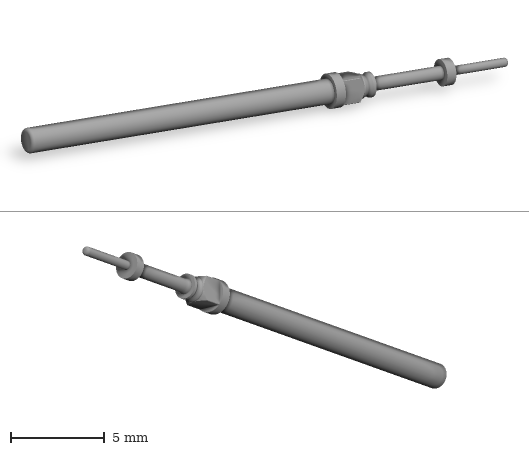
import cadquery as cq
import math

LENGTH = 29.4
FLANGE_Y = 18.45
FLANGE_THICKNESS = 0.55
HEAD_FRONT_Y = 21.05
COLLAR_Y = 25.35
COLLAR_THICKNESS = 0.55

BARREL_DIAMETER = 1.38
FLANGE_DIAMETER = 1.9
ROD_DIAMETER = 0.75
COLLAR_DIAMETER = 1.47
PIN_DIAMETER = 0.5

SQUARE_SIDE = 1.38
SQUARE_LENGTH = 1.03
TAPER_LENGTH = 0.25

GROOVE_DEPTH = 0.12
GROOVE_FRONT_WIDTH = 0.2
GROOVE_BACK_WIDTH = 0.25
HEAD_LIP_WIDTH = 0.18

FLARE_LENGTH = 0.32
FLARE_RADIUS = 0.88
BARREL_END_FILLET = 0.18
PIN_TIP_FILLET = 0.18

SQUARE_Y = FLANGE_Y + FLANGE_THICKNESS
TAPER_Y = SQUARE_Y + SQUARE_LENGTH


def cylinder(diameter, start, end):
    """Cylinder on the Y axis between two stations."""
    disc = cq.Workplane("XZ", origin=(0, start, 0)).circle(diameter / 2)
    return disc.extrude(start - end)


def revolve_about_y(outline):
    """Turn a closed (radius, Y) outline around the Y axis."""
    return outline.close().revolve(360, (0, 0, 0), (0, 1, 0))


def make_barrel():
    """Round barrel with a rounded free end."""
    barrel = cylinder(BARREL_DIAMETER, 0, FLANGE_Y)
    return barrel.faces("<Y").edges().fillet(BARREL_END_FILLET)


def make_square_block():
    """Square block bounded by the flange diameter, its front corners tapered."""
    front_y = TAPER_Y + TAPER_LENGTH
    square = cq.Workplane("XZ", origin=(0, SQUARE_Y, 0)).rect(SQUARE_SIDE, SQUARE_SIDE)
    block = square.extrude(SQUARE_Y - front_y)
    envelope = revolve_about_y(
        cq.Workplane("XY")
        .moveTo(0, SQUARE_Y)
        .lineTo(FLANGE_DIAMETER / 2, SQUARE_Y)
        .lineTo(FLANGE_DIAMETER / 2, TAPER_Y)
        .lineTo(BARREL_DIAMETER / 2, front_y)
        .lineTo(0, front_y)
    )
    return block.intersect(envelope)


def make_head():
    """Round head with a shallow V groove behind its front lip."""
    radius = BARREL_DIAMETER / 2
    groove_front_y = HEAD_FRONT_Y - HEAD_LIP_WIDTH
    groove_root_y = groove_front_y - GROOVE_FRONT_WIDTH
    groove_back_y = groove_root_y - GROOVE_BACK_WIDTH
    return revolve_about_y(
        cq.Workplane("XY")
        .moveTo(0, SQUARE_Y)
        .lineTo(radius, SQUARE_Y)
        .lineTo(radius, groove_back_y)
        .lineTo(radius - GROOVE_DEPTH, groove_root_y)
        .lineTo(radius, groove_front_y)
        .lineTo(radius, HEAD_FRONT_Y)
        .lineTo(0, HEAD_FRONT_Y)
    )


def make_rod():
    """Rod between head and collar; its foot flares along a tangent arc."""
    radius = ROD_DIAMETER / 2
    flare_rise = FLARE_RADIUS - math.sqrt(FLARE_RADIUS**2 - FLARE_LENGTH**2)
    return revolve_about_y(
        cq.Workplane("XY")
        .moveTo(0, COLLAR_Y)
        .lineTo(radius, COLLAR_Y)
        .lineTo(radius, HEAD_FRONT_Y + FLARE_LENGTH)
        .radiusArc((radius + flare_rise, HEAD_FRONT_Y), -FLARE_RADIUS)
        .lineTo(0, HEAD_FRONT_Y)
    )


def make_pin():
    """Thin contact pin with a rounded tip."""
    pin = cylinder(PIN_DIAMETER, COLLAR_Y + COLLAR_THICKNESS, LENGTH)
    return pin.faces(">Y").edges().fillet(PIN_TIP_FILLET)


flange = cylinder(FLANGE_DIAMETER, FLANGE_Y, FLANGE_Y + FLANGE_THICKNESS)
collar = cylinder(COLLAR_DIAMETER, COLLAR_Y, COLLAR_Y + COLLAR_THICKNESS)

result = make_barrel()
for section in (flange, make_square_block(), make_head(), make_rod(), collar, make_pin()):
    result = result.union(section)